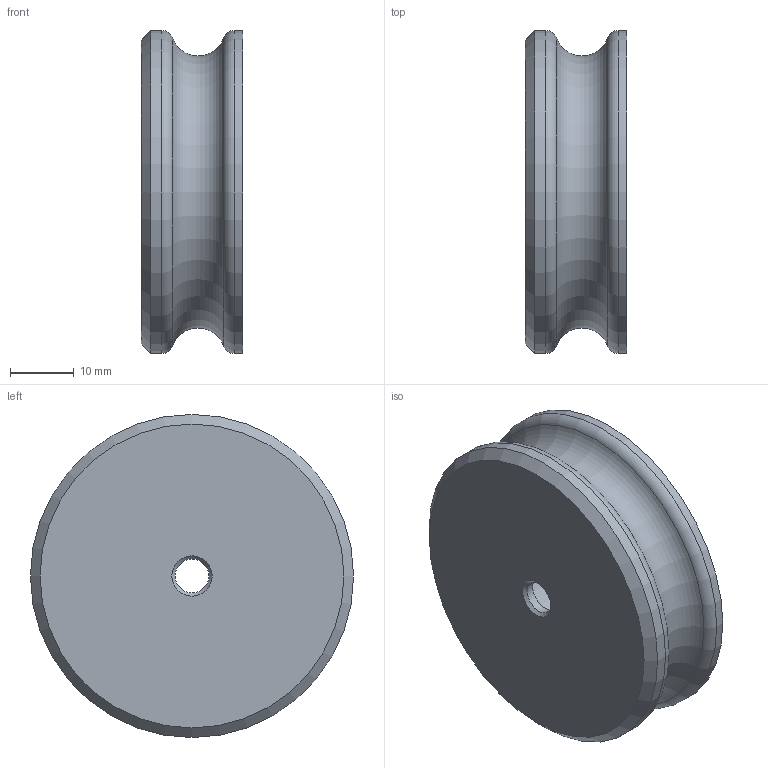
import cadquery as cq
import math

width = 15.9
rim_radius = 50.5 / 2
rim_chamfer = 1.5

groove_center_x = 8.9
groove_depth = 4.0
groove_radius = 4.25
shoulder_radius = 1.75

bore_diameter = 5.3
bore_chamfer = 0.5
bore_end_x = 1.8
recess_diameter = 26.96


def wheel_body():
    """Solid wheel with a chamfered front rim and a grooved circumference."""
    center_distance = groove_radius + shoulder_radius
    groove_center_radius = rim_radius - groove_depth + groove_radius
    shoulder_center_radius = rim_radius - shoulder_radius
    center_rise = groove_center_radius - shoulder_center_radius
    shoulder_angle = math.asin(center_rise / center_distance)
    shoulder_offset = center_distance * math.cos(shoulder_angle)
    joint_offset = groove_radius * math.cos(shoulder_angle)
    joint_radius = groove_center_radius - groove_radius * math.sin(shoulder_angle)

    mid_angle = (math.pi / 2 + shoulder_angle) / 2
    mid_offset = shoulder_offset - shoulder_radius * math.cos(mid_angle)
    mid_radius = shoulder_center_radius + shoulder_radius * math.sin(mid_angle)

    profile = (
        cq.Workplane("XY")
        .moveTo(0, 0)
        .lineTo(0, rim_radius - rim_chamfer)
        .lineTo(rim_chamfer, rim_radius)
        .lineTo(groove_center_x - shoulder_offset, rim_radius)
        .threePointArc(
            (groove_center_x - mid_offset, mid_radius),
            (groove_center_x - joint_offset, joint_radius),
        )
        .threePointArc(
            (groove_center_x, rim_radius - groove_depth),
            (groove_center_x + joint_offset, joint_radius),
        )
        .threePointArc(
            (groove_center_x + mid_offset, mid_radius),
            (groove_center_x + shoulder_offset, rim_radius),
        )
        .lineTo(width, rim_radius)
        .lineTo(width, 0)
        .close()
    )
    return profile.revolve(360, (0, 0, 0), (1, 0, 0))


def axial_hole():
    """Chamfered bore in the thin front wall, opening into a recess from the back."""
    bore_radius = bore_diameter / 2
    recess_radius = recess_diameter / 2
    profile = (
        cq.Workplane("XY")
        .moveTo(0, 0)
        .lineTo(0, bore_radius + bore_chamfer)
        .lineTo(bore_chamfer, bore_radius)
        .lineTo(bore_end_x, bore_radius)
        .lineTo(bore_end_x, recess_radius)
        .lineTo(width, recess_radius)
        .lineTo(width, 0)
        .close()
    )
    return profile.revolve(360, (0, 0, 0), (1, 0, 0))


result = wheel_body().cut(axial_hole())